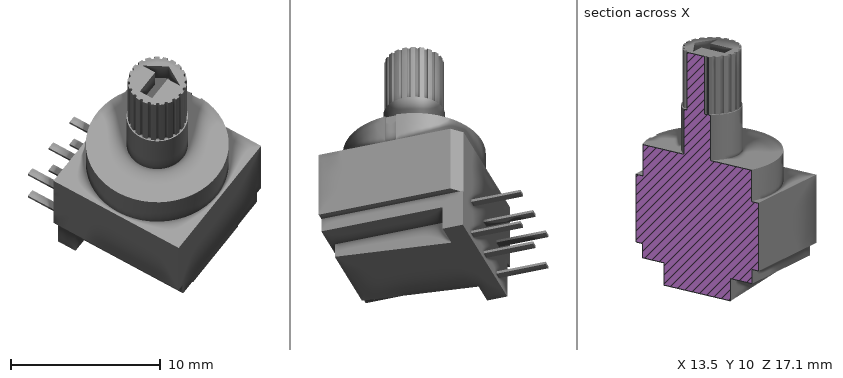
import cadquery as cq


wedge_tip_z = 0.74
slab_bottom_z = 1.75
housing_bottom_z = 2.75
housing_top_z = 7.6
disk_top_z = 9.82
shoulder_z = 13.01
shaft_top_z = 17.1

housing_side = 10.0
corner_chamfer = 0.7
base_width = 8.95
foot_length = 1.42
wedge_end_setback = 0.35
wedge_width = 5.47

pin_length = 3.49
pin_width = 0.55
pin_thickness = 0.19
pin_pitch = 2.53
pin_columns = 3
lower_pin_z = 0.5

disk_diameter = 9.55
notch_width = 0.75
notch_depth = 0.14

stem_diameter = 4.1
knurl_diameter = 3.95
groove_count = 21
groove_diameter = 0.25
groove_floor_radius = 1.81

arrow_tip_y = 1.4
arrow_shoulder_y = 0.5
arrow_tail_y = -1.37
arrow_head_half_width = 1.5
arrow_tail_half_width = 0.5
arrow_depth = 1.37

half_side = housing_side / 2


def block(x_start, x_end, width, z_start, z_end):
    """Box between two X and two Z positions, centred on Y = 0."""
    return (
        cq.Workplane("XY", origin=((x_start + x_end) / 2, 0, z_start))
        .box(x_end - x_start, width, z_end - z_start, centered=(True, True, False))
    )


def cylinder(diameter, z_start, z_end):
    """Upright cylinder on the shaft axis."""
    return cq.Workplane("XY", origin=(0, 0, z_start)).circle(diameter / 2).extrude(z_end - z_start)


def make_housing():
    """Square housing with one vertical corner cut off."""
    housing = block(-half_side, half_side, housing_side, housing_bottom_z, housing_top_z)
    return housing.edges("|Z and <X and >Y").chamfer(corner_chamfer)


def make_base():
    """Slab under the housing, with a foot on the pin side and a sloping wedge behind it."""
    slab = block(-half_side, half_side, base_width, slab_bottom_z, housing_bottom_z)
    foot_end_x = -half_side + foot_length
    foot = block(-half_side, foot_end_x, base_width, 0, slab_bottom_z)
    wedge_end_x = half_side - wedge_end_setback
    wedge = (
        cq.Workplane("XZ")
        .moveTo(foot_end_x, 0)
        .lineTo(wedge_end_x, wedge_tip_z)
        .lineTo(wedge_end_x, slab_bottom_z)
        .lineTo(foot_end_x, slab_bottom_z)
        .close()
        .extrude(wedge_width / 2, both=True)
    )
    return slab.union(foot).union(wedge)


def make_pins():
    """Two rows of flat pins on the -X face."""
    pins = cq.Workplane("XY")
    for pin_z in (lower_pin_z, lower_pin_z + pin_pitch):
        row = (
            cq.Workplane("YZ", origin=(-half_side, 0, pin_z))
            .rarray(pin_pitch, 0.17, pin_columns, 1)
            .rect(pin_width, pin_thickness)
            .extrude(-pin_length)
        )
        pins = pins.add(row)
    return pins


def make_disk():
    """Dial disk with a small notch in its +Y rim."""
    disk = cylinder(disk_diameter, housing_top_z, disk_top_z)
    notch = (
        cq.Workplane("XY", origin=(0, disk_diameter / 2, housing_top_z))
        .rect(notch_width, 2 * notch_depth)
        .extrude(disk_top_z - housing_top_z)
    )
    return disk.cut(notch)


def make_shaft():
    """Plain stem with a grooved grip and an arrow recess in its end."""
    stem = cylinder(stem_diameter, disk_top_z, shoulder_z)
    groove_centre_radius = groove_floor_radius + groove_diameter / 2
    grooves = (
        cq.Workplane("XY", origin=(0, 0, shoulder_z))
        .polarArray(groove_centre_radius, -90, 360, groove_count)
        .circle(groove_diameter / 2)
        .extrude(shaft_top_z - shoulder_z)
    )
    arrow = (
        cq.Workplane("XY", origin=(0, 0, shaft_top_z))
        .moveTo(0, arrow_tip_y)
        .lineTo(arrow_head_half_width, arrow_shoulder_y)
        .lineTo(arrow_tail_half_width, arrow_shoulder_y)
        .lineTo(arrow_tail_half_width, arrow_tail_y)
        .lineTo(0, arrow_tail_y)
        .mirrorY()
        .extrude(-arrow_depth)
    )
    grip = cylinder(knurl_diameter, shoulder_z, shaft_top_z).cut(grooves).cut(arrow)
    return stem.union(grip)


result = make_housing().union(make_base()).union(make_disk()).union(make_shaft())
result = result.union(make_pins())